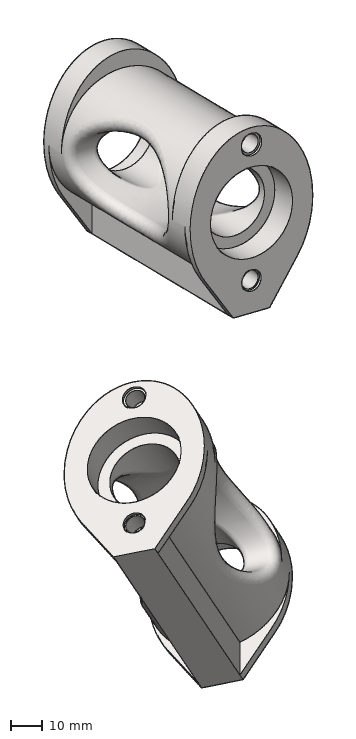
import cadquery as cq
import math

LENGTH = 82.5
TUBE_RADIUS = 24.0
BASE_DEPTH = 35.5
FLANGE_RISE = 30.0
BASE_HALF_WIDTH = 7.1
RIB_TOP_DEPTH = 18.15

UPPER_FLANGE_THICKNESS = 10.0
LOWER_FLANGE_THICKNESS = 3.0

BORE_DIAMETER = 24.0
SEAT_DIAMETER = 32.1
SEAT_DEPTH = UPPER_FLANGE_THICKNESS

PIN_OFFSET = 24.0
PIN_DIAMETER = 6.5
PIN_DEPTH = 8.0
PIN_MOUTH_DEPTH = 1.0
UPPER_PIN_MOUTH = 8.0
LOWER_PIN_MOUTH = 7.5

WINDOW_HALF_LENGTH = 27.0
WINDOW_HALF_HEIGHT = 14.0
WINDOW_FILLET = 3.0
BORE_RIM_FILLET = 2.0


def x_cylinder(diameter, length, start, z=0):
    """Cylinder along +X starting at the given X."""
    return cq.Workplane("YZ", origin=(start, 0, z)).circle(diameter / 2).extrude(length)


def base_tangent_point():
    """Point where a line from the base corner touches the flange ellipse."""
    u = BASE_HALF_WIDTH / TUBE_RADIUS
    v = -BASE_DEPTH / FLANGE_RISE
    angle = math.atan2(v, u) + math.acos(1 / math.hypot(u, v))
    return TUBE_RADIUS * math.cos(angle), FLANGE_RISE * math.sin(angle)


def make_flange():
    """Left end flange: an ellipse running tangentially into a tapered foot."""
    thickness = UPPER_FLANGE_THICKNESS
    tangent_y, tangent_z = base_tangent_point()
    ellipse = cq.Workplane("YZ").ellipse(TUBE_RADIUS, FLANGE_RISE).extrude(thickness)
    foot = (
        cq.Workplane("YZ")
        .polyline([
            (-tangent_y, tangent_z),
            (-BASE_HALF_WIDTH, -BASE_DEPTH),
            (BASE_HALF_WIDTH, -BASE_DEPTH),
            (tangent_y, tangent_z),
        ])
        .close()
        .extrude(thickness)
    )
    lower_relief = cq.Workplane("XY").box(
        thickness, 2 * TUBE_RADIUS, BASE_DEPTH, centered=(False, True, False)
    ).translate((LOWER_FLANGE_THICKNESS, 0, -BASE_DEPTH))
    return ellipse.union(foot).cut(lower_relief).translate((-LENGTH / 2, 0, 0))


def make_windowed_tube():
    """Bored tube with a rounded elliptical window through both sides in Y."""
    tube = x_cylinder(2 * TUBE_RADIUS, LENGTH, -LENGTH / 2).rotate((0, 0, 0), (1, 0, 0), -90)
    window = (
        cq.Workplane("XZ", origin=(0, TUBE_RADIUS, 0))
        .ellipse(WINDOW_HALF_LENGTH, WINDOW_HALF_HEIGHT)
        .extrude(2 * TUBE_RADIUS)
    )
    rounded = tube.cut(window).edges("%BSPLINE").fillet(WINDOW_FILLET)

    bore = x_cylinder(BORE_DIAMETER, LENGTH, -LENGTH / 2).rotate((0, 0, 0), (1, 0, 0), -90)
    bore_radius = BORE_DIAMETER / 2
    margin = 0.4
    bore_zone = cq.selectors.BoxSelector(
        (-WINDOW_HALF_LENGTH - margin, -bore_radius - margin, -bore_radius - margin),
        (WINDOW_HALF_LENGTH + margin, bore_radius + margin, bore_radius + margin),
        boundingbox=True,
    )
    return rounded.cut(bore).edges(bore_zone).edges("%BSPLINE").fillet(BORE_RIM_FILLET)


def make_pin_hole(z, mouth_diameter):
    """Blind hole from the left end face with a shallow counterbored mouth."""
    hole = x_cylinder(PIN_DIAMETER, PIN_DEPTH, -LENGTH / 2, z)
    return hole.union(x_cylinder(mouth_diameter, PIN_MOUTH_DEPTH, -LENGTH / 2, z))


rib = cq.Workplane("XY").box(
    LENGTH, 2 * BASE_HALF_WIDTH, BASE_DEPTH - RIB_TOP_DEPTH,
    centered=(True, True, False),
).translate((0, 0, -BASE_DEPTH))

flange = make_flange()
end_cuts = (
    x_cylinder(SEAT_DIAMETER, SEAT_DEPTH, -LENGTH / 2)
    .union(make_pin_hole(PIN_OFFSET, UPPER_PIN_MOUTH))
    .union(make_pin_hole(-PIN_OFFSET, LOWER_PIN_MOUTH))
)

result = (
    make_windowed_tube()
    .union(rib)
    .union(flange)
    .union(flange.mirror("YZ"))
    .cut(end_cuts)
    .cut(end_cuts.mirror("YZ"))
)